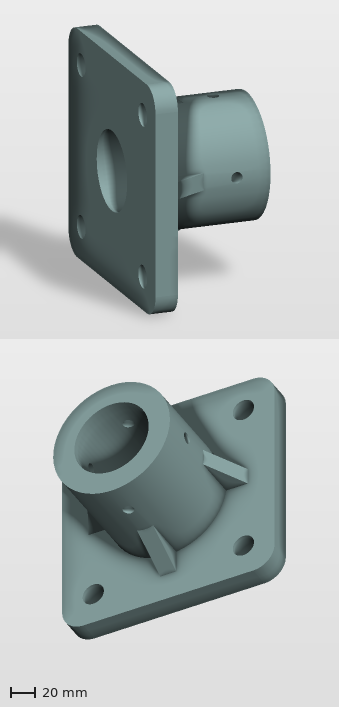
import cadquery as cq
import math

flange_side = 200.0
flange_thickness = 20.0
corner_radius = 20.0
bolt_hole_diameter = 20.0
bolt_circle_diameter = 200.0
bolt_spacing = bolt_circle_diameter / math.sqrt(2)

hub_diameter = 110.0
hub_length = 100.0
bore_diameter = 70.0
total_length = flange_thickness + hub_length

pin_hole_diameter = 10.0
pin_hole_end_distance = 30.0

rib_count = 4
rib_width = 15.0
rib_height = 40.0
rib_reach = 20.0


def cylinder(diameter, start_y, length):
    """Cylinder along +Y, centred on the part axis."""
    return cq.Workplane(cq.Solid.makeCylinder(
        diameter / 2, length, cq.Vector(0, start_y, 0), cq.Vector(0, 1, 0)))


def make_flange():
    return (
        cq.Workplane("XZ")
        .rect(flange_side, flange_side)
        .extrude(-flange_thickness)
        .edges("|Y")
        .fillet(corner_radius)
        .faces("<Y")
        .workplane(origin=(0, 0, 0))
        .rect(bolt_spacing, bolt_spacing, forConstruction=True)
        .vertices()
        .hole(bolt_hole_diameter)
    )


def make_rib():
    """Rib on the +X side, its sloping face continued into the hub wall."""
    hub_radius = hub_diameter / 2
    root_x = (hub_diameter + bore_diameter) / 4
    slope = rib_height / rib_reach
    root_top = flange_thickness + rib_height + slope * (hub_radius - root_x)
    return (
        cq.Workplane("XY")
        .moveTo(root_x, flange_thickness)
        .lineTo(hub_radius + rib_reach, flange_thickness)
        .lineTo(root_x, root_top)
        .close()
        .extrude(rib_width / 2, both=True)
    )


def make_pin_hole(plane):
    """Cross hole through the whole hub, normal to the given plane."""
    pin_y = total_length - pin_hole_end_distance
    return (
        cq.Workplane(plane, origin=(0, pin_y, 0))
        .circle(pin_hole_diameter / 2)
        .extrude(hub_diameter, both=True)
    )


result = make_flange().union(cylinder(hub_diameter, flange_thickness, hub_length))
for index in range(rib_count):
    angle = index * 360 / rib_count
    result = result.union(make_rib().rotate((0, 0, 0), (0, 1, 0), angle))

result = result.cut(cylinder(bore_diameter, 0, total_length))
for plane in ("XY", "YZ"):
    result = result.cut(make_pin_hole(plane))